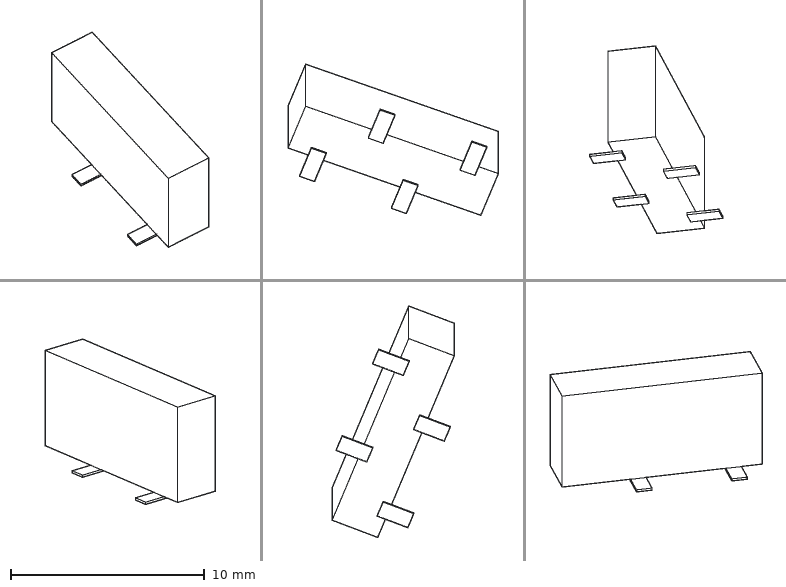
import cadquery as cq

total_width = 5.0
total_height = 5.4

housing_length = 10.66
housing_width = 2.54

lead_count = 4
lead_pitch = 2.54
lead_width = 0.83
lead_length = 1.71
lead_thickness = 0.13

housing_height = total_height - lead_thickness


def make_housing():
    """Block centred on the origin in X and Y, with its underside at Z = 0."""
    return cq.Workplane("XY").box(
        housing_length, housing_width, housing_height, centered=(True, True, False)
    )


def make_lead(x, side):
    """Flat strip under the housing, reaching out towards +Y (side 1) or -Y (side -1)."""
    y = side * (total_width - lead_length) / 2
    lead = cq.Workplane("XY").box(
        lead_width, lead_length, lead_thickness, centered=(True, True, False)
    )
    return lead.translate((x, y, -lead_thickness))


housing = make_housing()

leads = []
for index in range(lead_count):
    lead_x = (index - (lead_count - 1) / 2) * lead_pitch
    lead_side = 1 if index % 2 == 0 else -1
    leads.append(make_lead(lead_x, lead_side))

result = cq.Compound.makeCompound([housing.val(), *[lead.val() for lead in leads]])